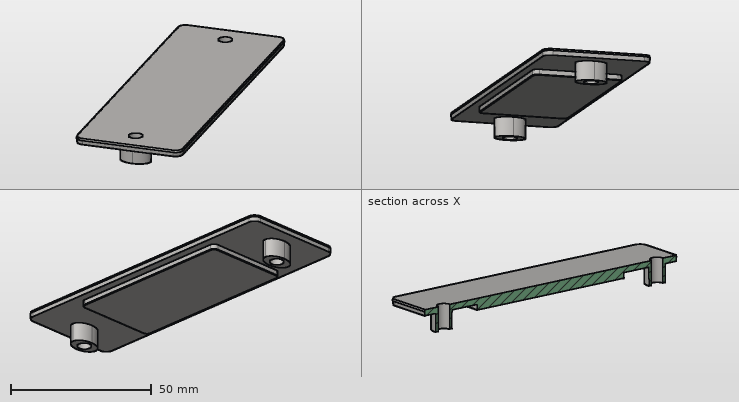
import cadquery as cq
import math

length = 114.6
width = 40.0
height = 9.3

plate_thickness = 2.4
parting_depth = 0.75
edge_inset = 0.2
corner_radius = 3.0

pad_width = 33.0
pad_length = 66.8
pad_height = 2.1
pad_corner_radius = 2.0
pad_chamfer = 0.2

boss_width = 11.5
boss_length = 7.6
boss_draft = 0.3
boss_spacing = 96.7
hole_diameter = 5.0

boss_height = height - plate_thickness
boss_centers = [(0, -boss_spacing / 2), (0, boss_spacing / 2)]


def tapered_slab(thickness):
    """Rounded slab from the XY plane, narrowing by edge_inset along its thickness."""
    taper = math.degrees(math.atan(edge_inset / abs(thickness)))
    outline = cq.Sketch().rect(width, length).vertices().fillet(corner_radius)
    return cq.Workplane("XY").placeSketch(outline).extrude(thickness, taper=taper)


def make_plate():
    """Plate with its top at Z = 0 and its widest line at the parting depth."""
    upper = tapered_slab(parting_depth)
    lower = tapered_slab(parting_depth - plate_thickness)
    return upper.union(lower).translate((0, 0, -parting_depth))


def make_pad():
    """Rounded pad under the plate with a chamfered lower rim."""
    return (
        cq.Workplane("XY", origin=(0, 0, -plate_thickness))
        .rect(pad_width, pad_length)
        .extrude(-pad_height)
        .edges("|Z")
        .fillet(pad_corner_radius)
        .faces("<Z")
        .chamfer(pad_chamfer)
    )


def make_bosses():
    """Pair of slightly drafted elliptical bosses, one near each end."""
    return (
        cq.Workplane("XY", origin=(0, 0, -plate_thickness))
        .pushPoints(boss_centers)
        .ellipse(boss_width / 2, boss_length / 2)
        .extrude(-boss_height, taper=boss_draft)
    )


def make_holes():
    """Through holes on the boss axes."""
    return (
        cq.Workplane("XY")
        .pushPoints(boss_centers)
        .circle(hole_diameter / 2)
        .extrude(-height)
    )


result = make_plate().union(make_pad()).union(make_bosses()).cut(make_holes())